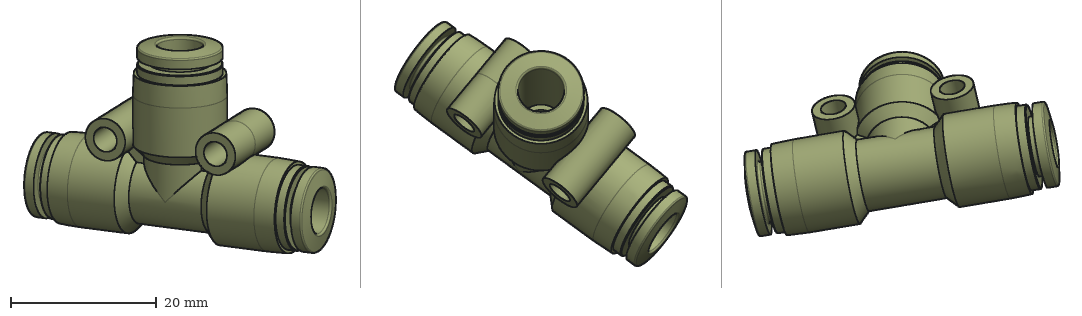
import cadquery as cq

ARM_LENGTH = 21.3
BODY_DIAMETER = 13.0
RELEASE_DIAMETER = 11.8
BUTTON_NECK_DIAMETER = 8.35
CORE_DIAMETER = 9.95
TUBE_BORE_DIAMETER = 6.35
FLOW_BORE_DIAMETER = 4.8

CORE_END = 5.45
BODY_START = CORE_END + (BODY_DIAMETER - CORE_DIAMETER) / 2
TAPER_START = 14.05
BODY_END = 17.13
COLLAR_END = 18.5
FLANGE_START = 19.4

BODY_END_DIAMETER = 12.75
COLLAR_CHAMFER = 0.13
NECK_FILLET = 0.35
FLANGE_ROUND = 0.2
FACE_SLOPE_DEPTH = 0.4
MOUTH_ROUND = 0.3

EYE_OFFSET = 8.3
EYE_DIAMETER = 6.0
EYE_HOLE_DIAMETER = 3.5
WEB_THICKNESS = 4.95

ROUND_45 = 0.5**0.5


def quarter_arc_middle(center, x_radius, z_radius):
    """Midpoint of a quarter round, with signed radii choosing the quadrant."""
    return center[0] + x_radius * ROUND_45, center[1] + z_radius * ROUND_45


def make_arm():
    """Solid arm revolved about +Z, starting at the centre."""
    body_radius = BODY_DIAMETER / 2
    release_radius = RELEASE_DIAMETER / 2
    neck_radius = BUTTON_NECK_DIAMETER / 2
    mouth_radius = TUBE_BORE_DIAMETER / 2 + MOUTH_ROUND
    face_radius = release_radius - FLANGE_ROUND
    face_start = ARM_LENGTH - FACE_SLOPE_DEPTH
    flange_end = face_start - FLANGE_ROUND

    body_profile = (
        cq.Workplane("XZ")
        .lineTo(CORE_DIAMETER / 2, 0)
        .lineTo(CORE_DIAMETER / 2, CORE_END)
        .lineTo(body_radius, BODY_START)
        .lineTo(body_radius, TAPER_START)
        .tangentArcPoint((BODY_END_DIAMETER / 2, BODY_END), relative=False)
    )
    neck_fillet_center = (neck_radius + NECK_FILLET, FLANGE_START - NECK_FILLET)
    flange_round_center = (face_radius, flange_end)
    profile = (
        body_profile.lineTo(release_radius, BODY_END)
        .lineTo(release_radius, COLLAR_END - COLLAR_CHAMFER)
        .lineTo(release_radius - COLLAR_CHAMFER, COLLAR_END)
        .lineTo(neck_radius, COLLAR_END)
        .lineTo(neck_radius, neck_fillet_center[1])
        .threePointArc(
            quarter_arc_middle(neck_fillet_center, -NECK_FILLET, NECK_FILLET),
            (neck_fillet_center[0], FLANGE_START),
        )
        .lineTo(release_radius, FLANGE_START)
        .lineTo(release_radius, flange_end)
        .threePointArc(
            quarter_arc_middle(flange_round_center, FLANGE_ROUND, FLANGE_ROUND),
            (face_radius, face_start),
        )
        .lineTo(mouth_radius, ARM_LENGTH)
        .lineTo(0, ARM_LENGTH)
        .close()
    )
    return profile.revolve(360, (0, 0, 0), (0, 1, 0))


def make_bore():
    """Stepped bore along +Z with a rounded mouth; the tube seats at BODY_START."""
    tube_radius = TUBE_BORE_DIAMETER / 2
    flow_radius = FLOW_BORE_DIAMETER / 2
    round_center = (tube_radius + MOUTH_ROUND, ARM_LENGTH - MOUTH_ROUND)
    profile = (
        cq.Workplane("XZ")
        .lineTo(flow_radius, 0)
        .lineTo(flow_radius, BODY_START)
        .lineTo(tube_radius, BODY_START)
        .lineTo(tube_radius, round_center[1])
        .threePointArc(
            quarter_arc_middle(round_center, -MOUTH_ROUND, MOUTH_ROUND),
            (round_center[0], ARM_LENGTH),
        )
        .lineTo(0, ARM_LENGTH)
        .close()
    )
    return profile.revolve(360, (0, 0, 0), (0, 1, 0))


def place_on_three_arms(shape):
    """Combine copies of a +Z shape pointing along +Z, +X and -X."""
    right = shape.rotate((0, 0, 0), (0, 1, 0), 90)
    left = shape.rotate((0, 0, 0), (0, 1, 0), -90)
    return right.union(left).union(shape)


def cylinder_along_y(x, z, diameter):
    """Cylinder spanning the body diameter along Y."""
    return (
        cq.Workplane("XZ")
        .center(x, z)
        .circle(diameter / 2)
        .extrude(BODY_DIAMETER / 2, both=True)
    )


fitting = place_on_three_arms(make_arm())

web = cq.Workplane("XY").box(
    2 * EYE_OFFSET, WEB_THICKNESS, EYE_OFFSET, centered=(True, True, False)
)
fitting = fitting.union(web)

eye_positions = (-EYE_OFFSET, EYE_OFFSET)
for eye_x in eye_positions:
    fitting = fitting.union(cylinder_along_y(eye_x, EYE_OFFSET, EYE_DIAMETER))

for eye_x in eye_positions:
    fitting = fitting.cut(cylinder_along_y(eye_x, EYE_OFFSET, EYE_HOLE_DIAMETER))

result = fitting.cut(place_on_three_arms(make_bore()))